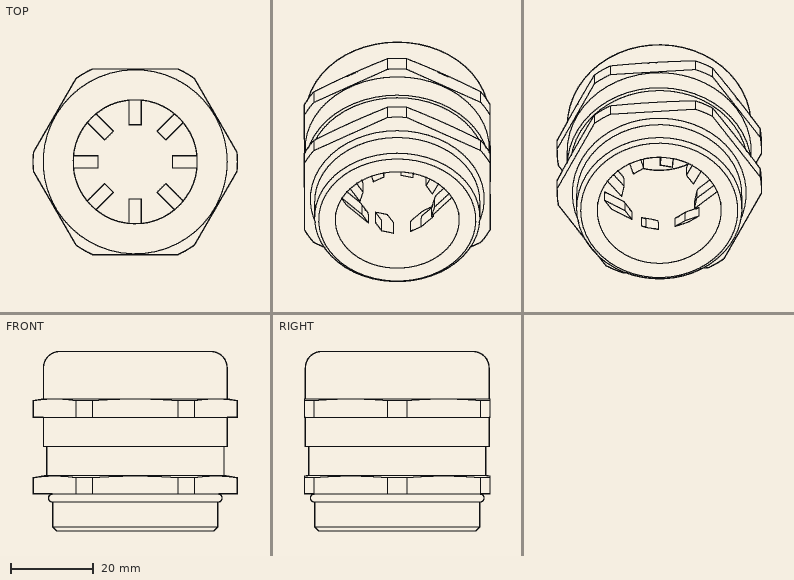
import cadquery as cq
import math

total_height = 43.5
seal_bottom = 7.05
lower_hex_bottom = 9.0
hex_height = 4.5
cap_bottom = 20.5
upper_hex_bottom = 27.5

thread_radius = 20.0
body_radius = 21.5
cap_radius = 22.28
bore_radius = 15.0

thread_chamfer = 1.0
cap_fillet = 4.0
seal_section_radius = (lower_hex_bottom - seal_bottom) / 2
seal_outer_radius = 21.05

hex_across_flats = 45.0
hex_corner_diameter = 49.5
hex_chamfer_angle = 10.0

finger_count = 8
finger_width = 3.0
finger_tip_radius = 8.95
finger_nose_radius = 4.0
finger_thickness = 2.0
finger_root_level = cap_bottom
finger_slope_angle = 60.0
finger_embed = 2.0


def cylinder(radius, bottom, top):
    return cq.Workplane("XY").workplane(offset=bottom).circle(radius).extrude(top - bottom)


def hex_flange(bottom, chamfer_start_radius):
    """Hexagon with rounded-off corners and a shallow conical top outside chamfer_start_radius."""
    top = bottom + hex_height
    corner_radius = hex_corner_diameter / 2
    chamfer_drop = (corner_radius - chamfer_start_radius) * math.tan(math.radians(hex_chamfer_angle))
    circumscribed_diameter = hex_across_flats / math.cos(math.pi / 6)
    prism = cq.Workplane("XY").workplane(offset=bottom).polygon(6, circumscribed_diameter).extrude(hex_height)
    turned_blank = (
        cq.Workplane("XZ")
        .moveTo(0, bottom)
        .lineTo(corner_radius, bottom)
        .lineTo(corner_radius, top - chamfer_drop)
        .lineTo(chamfer_start_radius, top)
        .lineTo(0, top)
        .close()
        .revolve(360, (0, 0, 0), (0, 1, 0))
    )
    return prism.intersect(turned_blank)


def seal_ring():
    """Sealing ring with a half-round outer edge, seated under the lower hexagon."""
    arc_centre_radius = seal_outer_radius - seal_section_radius
    return (
        cq.Workplane("XZ")
        .moveTo(bore_radius, seal_bottom)
        .lineTo(arc_centre_radius, seal_bottom)
        .threePointArc(
            (seal_outer_radius, seal_bottom + seal_section_radius),
            (arc_centre_radius, lower_hex_bottom),
        )
        .lineTo(bore_radius, lower_hex_bottom)
        .close()
        .revolve(360, (0, 0, 0), (0, 1, 0))
    )


def finger():
    """Strip on the +X side sloping down from the bore wall, its nose rounded to a vertical tip."""
    slope = math.radians(finger_slope_angle)
    root_radius = bore_radius + finger_embed
    nose_centre_radius = finger_tip_radius + finger_nose_radius

    def upper_level(radius):
        return finger_root_level - (bore_radius - radius) * math.tan(slope)

    def nose_point(angle):
        return (
            nose_centre_radius - finger_nose_radius * math.sin(angle),
            nose_centre_level + finger_nose_radius * math.cos(angle),
        )

    tangent_radius = nose_centre_radius - finger_nose_radius * math.sin(slope)
    nose_centre_level = upper_level(tangent_radius) - finger_nose_radius * math.cos(slope)
    vertical_thickness = finger_thickness / math.cos(slope)
    return (
        cq.Workplane("XZ")
        .moveTo(root_radius, upper_level(root_radius))
        .lineTo(*nose_point(slope))
        .threePointArc(nose_point((slope + math.pi / 2) / 2), nose_point(math.pi / 2))
        .lineTo(finger_tip_radius, upper_level(finger_tip_radius) - vertical_thickness)
        .lineTo(root_radius, upper_level(root_radius) - vertical_thickness)
        .close()
        .extrude(finger_width / 2, both=True)
    )


thread = cylinder(thread_radius, 0, lower_hex_bottom).faces("<Z").chamfer(thread_chamfer)
body = cylinder(body_radius, lower_hex_bottom, cap_bottom)
cap = cylinder(cap_radius, cap_bottom, total_height).faces(">Z").edges().fillet(cap_fillet)

shell = (
    thread.union(body)
    .union(cap)
    .union(seal_ring())
    .union(hex_flange(lower_hex_bottom, body_radius))
    .union(hex_flange(upper_hex_bottom, cap_radius))
    .cut(cylinder(bore_radius, 0, total_height))
)

result = shell
for index in range(finger_count):
    result = result.union(finger().rotate((0, 0, 0), (0, 0, 1), index * 360 / finger_count))